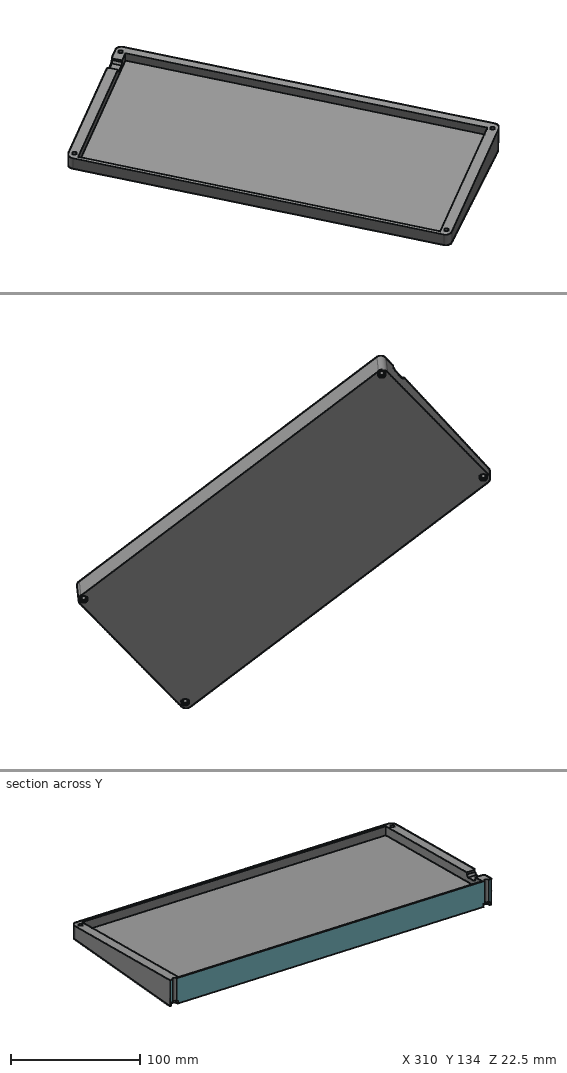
import cadquery as cq
import math

length = 310.0
width = 134.0
rear_height = 22.5
tilt = math.radians(5)
corner_radius = 5.0

tray_depth = 7.8
side_wall = 8.7
rear_wall = 6.5
front_wall = 2.8

hole_diameter = 3.5
counterbore_diameter = 6.2
counterbore_depth = 2.5
hole_side_inset = 4.5
hole_end_inset = 6.0

notch_width = 11.2
notch_depth = 3.7
notch_rear_inset = 15.2
notch_corner = 2.0
notch_lead_in = 1.0

rear_foot_inset = rear_height * math.tan(tilt)
underside_length = width - rear_foot_inset
front_height = rear_height - underside_length * math.tan(tilt)

left = -length / 2
front = -width / 2
rear = width / 2


def wedge_body():
    """Wedge with its top at Z = 0 and its four upright corner edges rounded."""
    side_outline = [
        (front, 0),
        (rear, 0),
        (rear - rear_foot_inset, -rear_height),
        (front, -front_height),
    ]
    body = cq.Workplane("YZ").polyline(side_outline).close().extrude(length / 2, both=True)
    body = body.edges("|Z").fillet(corner_radius)
    return body.faces(">Y").edges("not |X").fillet(corner_radius)


def tray():
    """Flat-bottomed recess open at the top."""
    tray_length = length - 2 * side_wall
    tray_width = width - front_wall - rear_wall
    tray_center_y = (front_wall - rear_wall) / 2
    return (
        cq.Workplane("XY")
        .center(0, tray_center_y)
        .rect(tray_length, tray_width)
        .extrude(-tray_depth)
    )


def screw_hole(x, y):
    """Vertical through hole with a counterbore square to the sloping underside."""
    underside_z = -front_height - (y - front) * math.tan(tilt)
    shaft = cq.Workplane("XY").center(x, y).circle(hole_diameter / 2).extrude(-rear_height)
    inward = cq.Vector(0, math.sin(tilt), math.cos(tilt))
    mouth = cq.Vector(x, y, underside_z)
    counterbore = cq.Solid.makeCylinder(
        counterbore_diameter / 2,
        2 * counterbore_depth,
        mouth - inward * counterbore_depth,
        inward,
    )
    return shaft.union(cq.Workplane(counterbore))


def cut_cable_notch(body):
    """Notch with bevelled bottom corners and a chamfer around its outer mouth."""
    notch_rear = rear - notch_rear_inset
    notch_front = notch_rear - notch_width
    outline = [
        (notch_front, 0),
        (notch_front, notch_corner - notch_depth),
        (notch_front + notch_corner, -notch_depth),
        (notch_rear - notch_corner, -notch_depth),
        (notch_rear, notch_corner - notch_depth),
        (notch_rear, 0),
    ]
    notch = cq.Workplane("YZ", origin=(left, 0, 0)).polyline(outline).close().extrude(side_wall)
    margin = 0.3
    mouth_edges = cq.selectors.BoxSelector(
        (left - margin, notch_front - margin, -notch_depth - margin),
        (left + margin, notch_rear + margin, -margin),
    )
    return body.cut(notch).edges(mouth_edges).chamfer(notch_lead_in)


result = cut_cable_notch(wedge_body().cut(tray()))
for hole_x in (left + hole_side_inset, -left - hole_side_inset):
    for hole_y in (front + hole_end_inset, rear - hole_end_inset):
        result = result.cut(screw_hole(hole_x, hole_y))